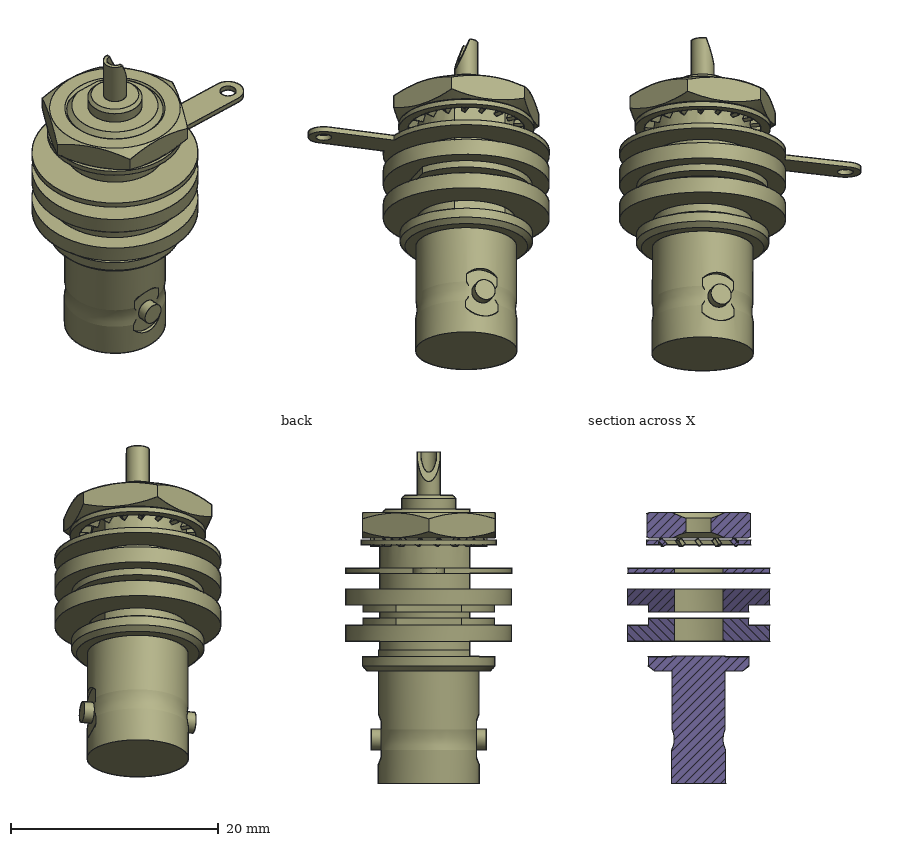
import cadquery as cq
import math

height = 31.93
outer_width = 16.0
outer_length = 24.0

lip_radius = 4.9
barrel_radius = 4.85
groove_bottom = 3.22
groove_middle = 4.25
groove_top = 5.2
groove_radius = 4.75
flange_radius = 6.4
flange_bottom = 10.82
flange_top = 12.23
flange_chamfer = 0.48
relief_top = 12.87
thread_radius = 4.73
thread_top = 26.45
thread_chamfer = 0.57
flat_offset = 3.95
flat_bottom = 12.3

collar_radius = 2.62
collar_top = 27.78
collar_chamfer = 0.32
cup_radius = 1.12
cup_bore_radius = 0.77
cup_slant_height = 2.85
drill_tip_angle = 118.0

stud_radius = 1.02
stud_reach = 5.55
stud_seat_radius = 2.35
stud_seat_slope = 20.0
stud_seat_offset = 4.6
stud_height = 4.25

bushing_radius = outer_width / 2
bushing_thickness = 1.55
shoulder_radius = 6.35
shoulder_thickness = 0.67
shoulder_flat_offset = 5.52
upper_bushing_top = 18.75
lower_bushing_bottom = 13.7

lug_radius = bushing_radius
lug_thickness = 0.5
lug_bottom = 20.25
tab_radius = 1.5
tab_reach = outer_length - outer_width / 2
tab_hole_radius = 0.77

washer_radius = 6.5
washer_bottom = 23.0
washer_thickness = 0.48
tooth_count = 18
tooth_outer_radius = 5.62
tooth_width = 0.7
tooth_thickness = 0.38
tooth_twist = 55.0
tooth_root_sink = 0.05

nut_bottom = 23.63
nut_height = 2.5
nut_flats = 12.8
nut_face_radius = 6.3
nut_chamfer_angle = 30.0
nut_countersink = 0.55
nut_bore_radius = 4.28


def cylinder(radius, bottom, top):
    return cq.Workplane("XY", origin=(0, 0, bottom)).circle(radius).extrude(top - bottom)


def revolved(points):
    return cq.Workplane("XZ").polyline(points).close().revolve(360, (0, 0, 0), (0, 1, 0))


def barrel_and_thread():
    """Turned jack body: bayonet barrel, flange, relief and flatted thread."""
    body = (
        cq.Workplane("XZ")
        .moveTo(0, 0)
        .lineTo(lip_radius, 0)
        .lineTo(lip_radius, groove_bottom)
        .threePointArc((groove_radius, groove_middle), (barrel_radius, groove_top))
        .lineTo(barrel_radius, flange_bottom)
        .lineTo(flange_radius - flange_chamfer, flange_bottom)
        .lineTo(flange_radius, flange_bottom + flange_chamfer)
        .lineTo(flange_radius, flange_top)
        .lineTo(barrel_radius, flange_top)
        .lineTo(barrel_radius, relief_top)
        .lineTo(thread_radius, relief_top)
        .lineTo(thread_radius, thread_top - thread_chamfer)
        .lineTo(thread_radius - thread_chamfer, thread_top)
        .lineTo(0, thread_top)
        .close()
        .revolve(360, (0, 0, 0), (0, 1, 0))
    )
    flat_cutter = (
        cq.Workplane("XY", origin=(0, 0, flat_bottom))
        .rect(2 * flange_radius, 2 * flange_radius)
        .extrude(thread_top - flat_bottom)
        .translate((-flat_offset - flange_radius, 0, 0))
    )
    return body.cut(flat_cutter)


def bayonet_studs(body):
    """Cut a flat round seat with a sloping rim on each side and stand a stud in it."""
    stud_length = stud_reach - stud_seat_offset
    for side in (-1, 1):
        plane = cq.Plane((side * stud_seat_offset, 0, stud_height), (0, 1, 0), (side, 0, 0))
        seat = cq.Workplane(plane).circle(stud_seat_radius).extrude(stud_length, taper=-stud_seat_slope)
        stud = cq.Workplane(plane).circle(stud_radius).extrude(stud_length)
        body = body.cut(seat).union(stud)
    return body


def collar_and_cup():
    """Insulator collar with the slant-cut solder cup of the centre contact."""
    collar = cylinder(collar_radius, thread_top, collar_top).faces(">Z").chamfer(collar_chamfer)
    cup = cylinder(cup_radius, collar_top, height)
    slant = (
        cq.Workplane("YZ")
        .polyline([(0, height), (cup_radius, height - cup_slant_height), (cup_radius, height)])
        .close()
        .extrude(cup_radius, both=True)
    )
    tip_depth = cup_bore_radius / math.tan(math.radians(drill_tip_angle / 2))
    bore = revolved([
        (0, collar_top - tip_depth),
        (cup_bore_radius, collar_top),
        (cup_bore_radius, height),
        (0, height),
    ])
    return collar.union(cup).cut(slant).cut(bore)


def hex_nut():
    """Hex nut, points toward +Y and -Y, chamfered and countersunk on both faces."""
    top = nut_bottom + nut_height
    point_radius = nut_flats / 2 / math.cos(math.pi / 6)
    corner_drop = (point_radius - nut_face_radius) * math.tan(math.radians(nut_chamfer_angle))
    hexagon = (
        cq.Workplane("XY", origin=(0, 0, nut_bottom))
        .transformed(rotate=(0, 0, 90))
        .polygon(6, 2 * point_radius)
        .extrude(nut_height)
    )
    ring = revolved([
        (nut_bore_radius, nut_bottom + nut_countersink),
        (nut_bore_radius + nut_countersink, nut_bottom),
        (nut_face_radius, nut_bottom),
        (point_radius, nut_bottom + corner_drop),
        (point_radius, top - corner_drop),
        (nut_face_radius, top),
        (nut_bore_radius + nut_countersink, top),
        (nut_bore_radius, top - nut_countersink),
    ])
    return hexagon.intersect(ring)


def lock_washer():
    """Flat ring with twisted inner teeth that stand out of both faces."""
    top = washer_bottom + washer_thickness
    middle = washer_bottom + washer_thickness / 2
    tooth_root_radius = thread_radius - tooth_root_sink
    washer = cylinder(washer_radius, washer_bottom, top).cut(cylinder(tooth_outer_radius, washer_bottom, top))
    tooth = (
        cq.Workplane("XY")
        .box(tooth_outer_radius - tooth_root_radius, tooth_width, tooth_thickness, centered=(False, True, True))
        .rotate((0, 0, 0), (1, 0, 0), tooth_twist)
        .translate((tooth_root_radius, 0, middle))
    )
    for index in range(tooth_count):
        washer = washer.union(tooth.rotate((0, 0, 0), (0, 0, 1), index * 360 / tooth_count))
    return washer


def solder_lug():
    """Thin ring with a tongue toward +Y that ends in a soldering eye."""
    top = lug_bottom + lug_thickness
    eye_center = tab_reach - tab_radius
    tongue = (
        cq.Workplane("XY", origin=(0, eye_center / 2, lug_bottom))
        .rect(2 * tab_radius, eye_center)
        .extrude(lug_thickness)
    )
    eye = cylinder(tab_radius, lug_bottom, top).translate((0, eye_center, 0))
    eye_hole = cylinder(tab_hole_radius, lug_bottom, top).translate((0, eye_center, 0))
    lug = cylinder(lug_radius, lug_bottom, top).union(tongue).union(eye)
    return lug.cut(eye_hole).cut(cylinder(thread_radius, lug_bottom, top))


def jack():
    """Complete jack with the parts that are fast on its thread."""
    body = bayonet_studs(barrel_and_thread())
    for fitting in (collar_and_cup(), hex_nut(), lock_washer(), solder_lug()):
        body = body.union(fitting)
    return body


def bushing(outer_face, direction):
    """Flanged bushing on the thread; its shoulder, flatted on +Y, points along the Z direction given."""
    thickness = bushing_thickness + shoulder_thickness
    shoulder_cutter = (
        cq.Workplane("XY", origin=(0, shoulder_flat_offset + shoulder_radius, bushing_thickness))
        .rect(2 * shoulder_radius, 2 * shoulder_radius)
        .extrude(shoulder_thickness)
    )
    shape = (
        cylinder(shoulder_radius, 0, thickness)
        .cut(shoulder_cutter)
        .union(cylinder(bushing_radius, 0, bushing_thickness))
        .cut(cylinder(thread_radius, 0, thickness))
    )
    if direction < 0:
        shape = shape.mirror("XY")
    return shape.translate((0, 0, outer_face))


jack_body = jack()
bushings = [
    bushing(lower_bushing_bottom, 1),
    bushing(upper_bushing_top, -1),
]

result = cq.Compound.makeCompound([jack_body.val(), *[body.val() for body in bushings]])